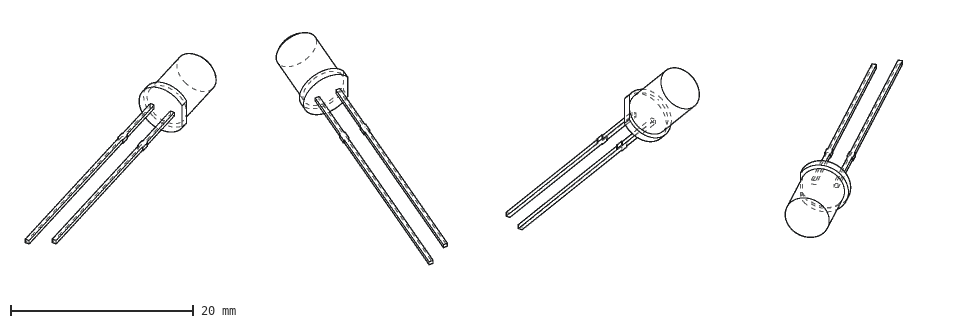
import cadquery as cq

body_diameter = 5.0
body_length = 8.6
dome_height = 1.2
flange_diameter = 5.9
flange_thickness = 1.0

lead_pitch = 2.54
lead_side = 0.5
long_lead_length = 27.0
short_lead_length = 25.5
stop_width = 0.7
stop_length = 1.0
stop_distance = 5.9


def make_body():
    """Revolve the flange, cylinder and spherical dome about the Y axis."""
    body_radius = body_diameter / 2
    flange_radius = flange_diameter / 2
    shoulder = body_length - dome_height
    dome_radius = (body_radius**2 + dome_height**2) / (2 * dome_height)
    dome_centre = body_length - dome_radius
    mid_x = body_radius / 2
    mid_y = dome_centre + (dome_radius**2 - mid_x**2) ** 0.5
    return (
        cq.Workplane("XY")
        .lineTo(flange_radius, 0)
        .lineTo(flange_radius, flange_thickness)
        .lineTo(body_radius, flange_thickness)
        .lineTo(body_radius, shoulder)
        .threePointArc((mid_x, mid_y), (0, body_length))
        .close()
        .revolve(360, (0, 0, 0), (0, 1, 0))
    )


def cut_flange_flat(body):
    """Trim the +X side of the flange flush with the cylinder."""
    trim_block = cq.Workplane("XY").box(
        flange_diameter, flange_thickness, flange_diameter, centered=(False, False, True)
    )
    return body.cut(trim_block.translate((body_diameter / 2, 0, 0)))


def make_lead(x, length):
    """Square wire below the base at the given X, with its stop."""
    wire = cq.Workplane("XY").box(lead_side, length, lead_side).translate((x, -length / 2, 0))
    stop_y = -stop_distance - stop_length / 2
    stop = cq.Workplane("XY").box(stop_width, stop_length, lead_side).translate((x, stop_y, 0))
    return wire.union(stop)


result = cut_flange_flat(make_body())
for lead_x, lead_length in (
    (-lead_pitch / 2, long_lead_length),
    (lead_pitch / 2, short_lead_length),
):
    result = result.union(make_lead(lead_x, lead_length))